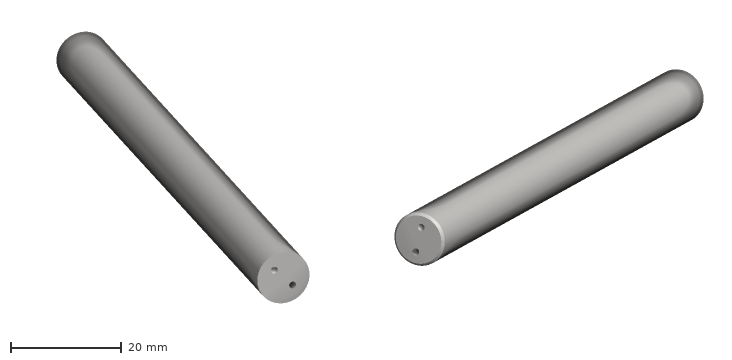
import cadquery as cq
import math

length = 120.0
rod_diameter = 10.0
chamfer_size = 0.5

channel_diameter = 1.3
channel_radius = 2.4
first_channel_angle = 103.0
channel_count = 2
helix_angle = 30.0
helix_pitch = 2 * math.pi * channel_radius / math.tan(math.radians(helix_angle))
overrun = 1.2


def make_rod():
    """Rod starting at X = 0, with a chamfer around the -X end."""
    rod = cq.Workplane("YZ").circle(rod_diameter / 2).extrude(length)
    return rod.faces("<X").chamfer(chamfer_size)


def make_channel(angle):
    """Right-hand helical cutter about the X axis, crossing X = 0 at the given angle."""
    helix = cq.Wire.makeHelix(helix_pitch, length + 2 * overrun, channel_radius)
    section = cq.Workplane("XY").center(channel_radius, 0).circle(channel_diameter / 2)
    cutter = section.sweep(helix, isFrenet=True)

    overrun_turn = 360 * overrun / helix_pitch
    cutter = cutter.rotate((0, 0, 0), (0, 0, 1), angle - overrun_turn)
    cutter = cutter.translate((0, 0, -overrun))
    cutter = cutter.rotate((0, 0, 0), (0, 1, 0), 90)
    return cutter.rotate((0, 0, 0), (1, 0, 0), 90)


result = make_rod()
for index in range(channel_count):
    result = result.cut(make_channel(first_channel_angle + index * 360 / channel_count))
result = result.translate((-length / 2, 0, 0))